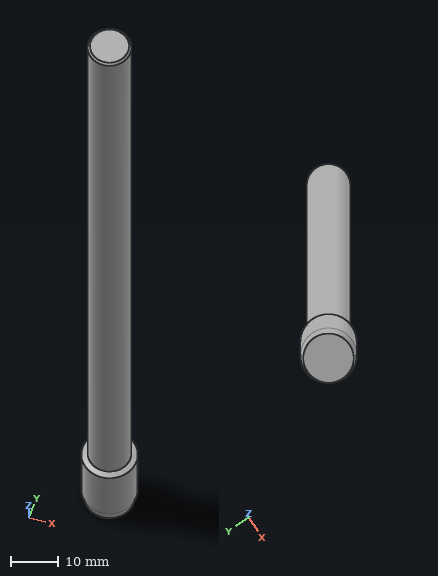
import cadquery as cq

total_length = 180.0

rod_diameter = 9.3
rod_edge_chamfer = 0.5

ferrule_diameter = 12.0
ferrule_tip_diameter = 10.7
ferrule_length = 17.5
ferrule_taper_height = 2.85
ferrule_shoulder_drop = 0.5
ferrule_floor = ferrule_taper_height


def make_rod():
    """Round rod, standing on the floor of the ferrule, with a broken top edge."""
    return (
        cq.Workplane("XY")
        .workplane(offset=ferrule_floor)
        .circle(rod_diameter / 2)
        .extrude(total_length - ferrule_floor)
        .faces(">Z")
        .chamfer(rod_edge_chamfer)
    )


def make_ferrule():
    """Turned cup: tapered tip, straight wall, sloping top face and a blind bore for the rod."""
    bore_radius = rod_diameter / 2
    outer_radius = ferrule_diameter / 2
    return (
        cq.Workplane("XZ")
        .moveTo(0, 0)
        .lineTo(ferrule_tip_diameter / 2, 0)
        .lineTo(outer_radius, ferrule_taper_height)
        .lineTo(outer_radius, ferrule_length - ferrule_shoulder_drop)
        .lineTo(bore_radius, ferrule_length)
        .lineTo(bore_radius, ferrule_floor)
        .lineTo(0, ferrule_floor)
        .close()
        .revolve(360, (0, 0, 0), (0, 1, 0))
    )


rod = make_rod()
ferrule = make_ferrule()

result = cq.Compound.makeCompound([rod.val(), ferrule.val()])